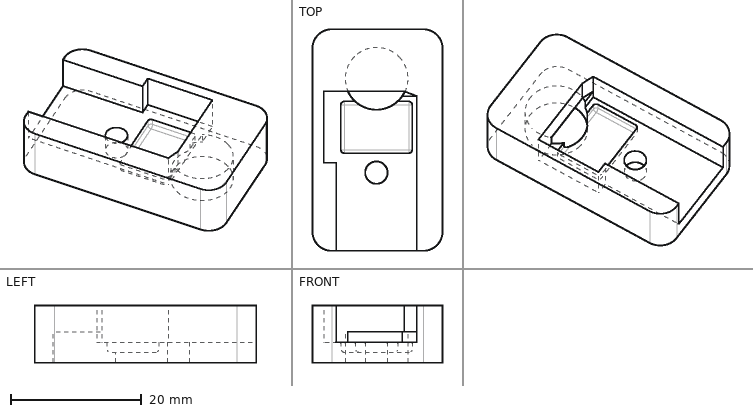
import cadquery as cq

block_width = 20.0
block_length = 34.0
block_height = 8.8
corner_radius = 3.0

floor_height = 3.13
channel_left = 3.65
channel_right = 16.05
pocket_left = 1.77
shoulder_y = 13.5
rear_wall_y = 24.45
bevel_start_x = 14.1
bevel_end_y = 23.73

hole_x = 9.83
small_hole_y = 12.0
small_hole_diameter = 3.4
large_hole_y = 26.45
large_hole_diameter = 9.6
large_hole_top = 4.73

recess_left = 4.4
recess_right = 15.3
recess_front = 15.0
recess_rear = 22.9
recess_depth = 1.5
recess_radius = 0.5


def make_block():
    block = cq.Workplane("XY").box(block_width, block_length, block_height, centered=False)
    return block.edges("|Z").fillet(corner_radius)


def make_pocket():
    outline = [
        (channel_left, 0),
        (channel_right, 0),
        (channel_right, bevel_end_y),
        (bevel_start_x, rear_wall_y),
        (pocket_left, rear_wall_y),
        (pocket_left, shoulder_y),
        (channel_left, shoulder_y),
    ]
    pocket_depth = block_height - floor_height
    return cq.Workplane("XY", origin=(0, 0, floor_height)).polyline(outline).close().extrude(pocket_depth)


def make_corner_ledge():
    """Small step that squares off the bevelled corner low in the pocket."""
    return cq.Workplane("XY", origin=(hole_x, bevel_end_y, floor_height)).box(
        channel_right - hole_x,
        rear_wall_y - bevel_end_y,
        large_hole_top - floor_height,
        centered=False,
    )


def make_recess():
    recess = cq.Workplane("XY", origin=(recess_left, recess_front, floor_height - recess_depth)).box(
        recess_right - recess_left,
        recess_rear - recess_front,
        recess_depth,
        centered=False,
    )
    return recess.edges("|Z or <Z").fillet(recess_radius)


def make_hole(center_y, diameter, height):
    """Vertical round cutter rising from the underside."""
    return cq.Workplane("XY").center(hole_x, center_y).circle(diameter / 2).extrude(height)


result = make_block().cut(make_pocket()).union(make_corner_ledge())
result = result.cut(make_recess())
result = result.cut(make_hole(small_hole_y, small_hole_diameter, floor_height))
result = result.cut(make_hole(large_hole_y, large_hole_diameter, large_hole_top))